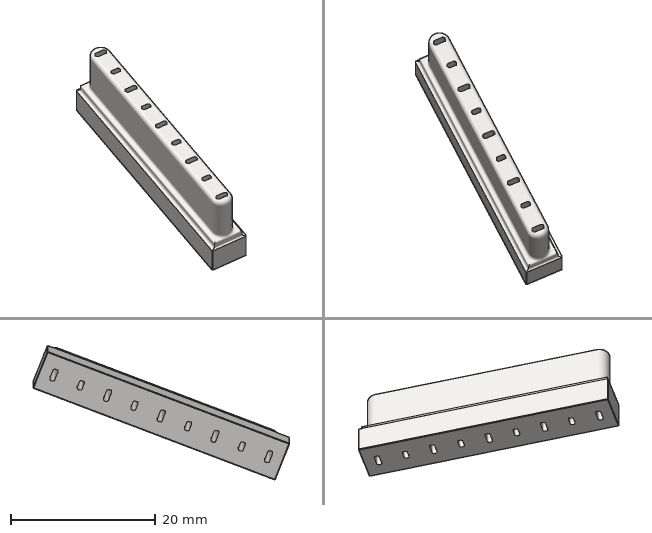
import cadquery as cq

base_length = 36.1
base_width = 5.6
base_height = 4.0
base_chamfer = 0.1

plinth_side_inset = 0.55
plinth_end_inset = 0.3
plinth_height = 1.0
plinth_edge_radius = 0.2
plinth_side_foot_radius = 0.4
plinth_end_foot_radius = 0.18

total_height = 11.8
blade_length = 34.98
blade_width = 3.0
blade_top_radius = 0.6
blade_foot_radius = 0.4
foot_search_margin = 0.05

slot_count = 9
slot_width = 0.72
long_slot_length = 1.75
short_slot_length = 1.35
slot_corner_radius = 0.3

slot_pitch = (blade_length - blade_width) / (slot_count - 1)
plinth_top = base_height + plinth_height


def base_block():
    """Plain block with its upright and underside edges chamfered."""
    return (
        cq.Workplane("XY")
        .box(base_length, base_width, base_height, centered=(True, True, False))
        .edges("|Z or <Z")
        .chamfer(base_chamfer)
    )


def plinth_profile(plane, half_width, foot_radius, length):
    """Plinth silhouette, hollow-flared at the foot and rounded on top, extruded to a bar."""
    foot = half_width + foot_radius
    crown = half_width - plinth_edge_radius
    foot_top = base_height + foot_radius
    wall_top = plinth_top - plinth_edge_radius
    return (
        cq.Workplane(plane)
        .moveTo(-foot, base_height)
        .lineTo(foot, base_height)
        .radiusArc((half_width, foot_top), foot_radius)
        .lineTo(half_width, wall_top)
        .radiusArc((crown, plinth_top), -plinth_edge_radius)
        .lineTo(-crown, plinth_top)
        .radiusArc((-half_width, wall_top), -plinth_edge_radius)
        .lineTo(-half_width, foot_top)
        .radiusArc((-foot, base_height), foot_radius)
        .close()
        .extrude(length / 2, both=True)
    )


def plinth():
    """Crossing the side and end silhouettes gives mitred corners."""
    across = plinth_profile(
        "YZ", base_width / 2 - plinth_side_inset, plinth_side_foot_radius, base_length
    )
    along = plinth_profile(
        "XZ", base_length / 2 - plinth_end_inset, plinth_end_foot_radius, base_width
    )
    return across.intersect(along)


def add_blade(body):
    """Raise the blade from the base, rounded along its top and flared at its foot."""
    blade = (
        cq.Workplane("XY")
        .workplane(offset=base_height)
        .slot2D(blade_length, blade_width)
        .extrude(total_height - base_height)
        .faces(">Z")
        .edges()
        .fillet(blade_top_radius)
    )
    reach_x = blade_length / 2 + foot_search_margin
    reach_y = blade_width / 2 + foot_search_margin
    foot_edges = cq.selectors.BoxSelector(
        (-reach_x, -reach_y, plinth_top - plinth_edge_radius),
        (reach_x, reach_y, plinth_top + foot_search_margin),
    )
    return body.union(blade).edges(foot_edges).fillet(blade_foot_radius)


def cut_slots(body):
    """Cut the row of slots; even positions are long, odd ones short."""
    for index in range(slot_count):
        x = (index - (slot_count - 1) / 2) * slot_pitch
        length = long_slot_length if index % 2 == 0 else short_slot_length
        slot = (
            cq.Workplane("XY")
            .center(x, 0)
            .rect(slot_width, length)
            .extrude(total_height)
            .edges("|Z")
            .fillet(slot_corner_radius)
        )
        body = body.cut(slot)
    return body


result = cut_slots(add_blade(base_block().union(plinth())))